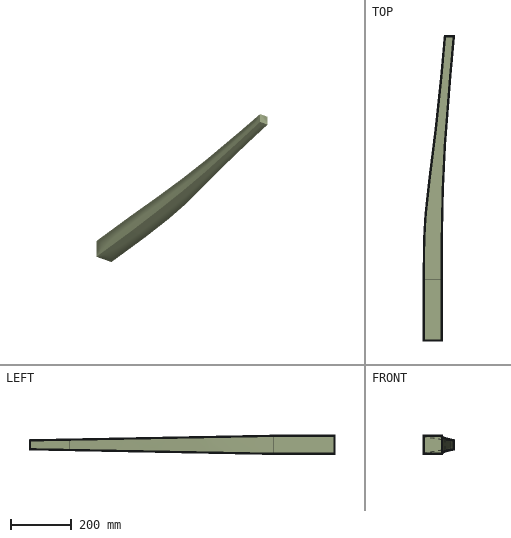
import cadquery as cq

LENGTH = 1000.0
SECTION = 60.0
FOOT_LENGTH = 200.0
FOOT_DIRECTION = cq.Vector(0, 1)

END_SECTION = 30.0
END_OFFSET = 70.0
END_OUTER_X = END_OFFSET + END_SECTION

STRAIGHT_LENGTH = 130.0
STRAIGHT_SHIFT = 11.7
STRAIGHT_DIRECTION = cq.Vector(STRAIGHT_SHIFT, STRAIGHT_LENGTH)
INNER_STRAIGHT_START = (END_OFFSET - STRAIGHT_SHIFT, LENGTH - STRAIGHT_LENGTH)
OUTER_STRAIGHT_START = (END_OUTER_X - STRAIGHT_SHIFT, LENGTH - STRAIGHT_LENGTH)

OUTER_MID_POINT = (66.0, 560.0)
INNER_LOW_POINT = (5.5, 400.0)
INNER_HIGH_POINT = (27.5, 595.0)


def plan_blank():
    """Curved plan outline extruded to the full foot height, centred on Z = 0."""
    return (
        cq.Workplane("XY")
        .workplane(offset=-SECTION / 2)
        .moveTo(0, 0)
        .lineTo(SECTION, 0)
        .lineTo(SECTION, FOOT_LENGTH)
        .spline(
            [OUTER_MID_POINT, OUTER_STRAIGHT_START],
            tangents=[FOOT_DIRECTION, STRAIGHT_DIRECTION],
            includeCurrent=True,
        )
        .lineTo(END_OUTER_X, LENGTH)
        .lineTo(END_OFFSET, LENGTH)
        .lineTo(*INNER_STRAIGHT_START)
        .spline(
            [INNER_HIGH_POINT, INNER_LOW_POINT, (0, FOOT_LENGTH)],
            tangents=[-STRAIGHT_DIRECTION, -FOOT_DIRECTION],
            includeCurrent=True,
        )
        .close()
        .extrude(SECTION)
    )


def side_envelope():
    """Side profile: constant height on the foot, then an even taper to the end."""
    half_foot = SECTION / 2
    half_end = END_SECTION / 2
    return (
        cq.Workplane("YZ")
        .polyline([
            (0, -half_foot),
            (FOOT_LENGTH, -half_foot),
            (LENGTH, -half_end),
            (LENGTH, half_end),
            (FOOT_LENGTH, half_foot),
            (0, half_foot),
        ])
        .close()
        .extrude(END_OUTER_X)
    )


result = plan_blank().intersect(side_envelope())